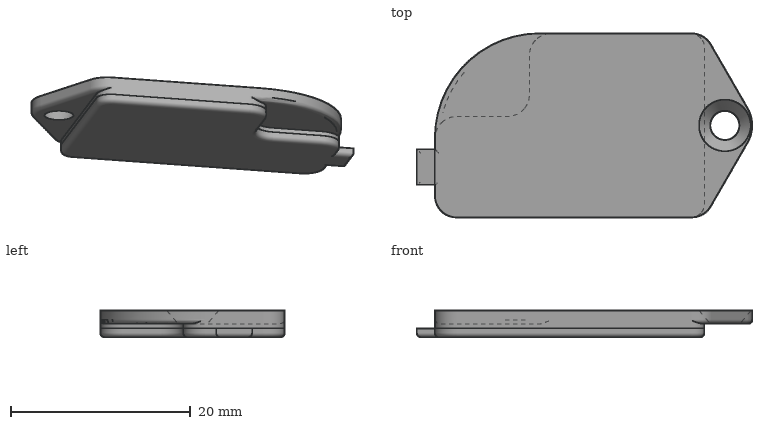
import cadquery as cq
import math

overall_length = 37.37
width = 20.5
height = 3.0
housing_length = 30.0

base_height = 1.0
flange_thickness = 1.5
bottom_rounding = 0.5

corner_radius = 2.43
large_corner_radius = 11.65

shoulder_radius = 2.5
tip_radius = 3.75
taper_normal_degrees = 30.0

recess_length = 10.5
end_corner_radius = 1.6

hole_radius = 1.6
countersink_radius = 2.88
hole_from_tip = 3.05

tab_length = 2.0
tab_width = 4.0
tab_center_y = -4.65
tab_root = 1.85

half_width = width / 2
tip_x = overall_length - tab_length
flange_bottom = height - flange_thickness
large_corner_start_y = half_width - large_corner_radius


def around(center_x, center_y, radius, degrees):
    """Point on a circle at the given angle from +X."""
    angle = math.radians(degrees)
    return center_x + radius * math.cos(angle), center_y + radius * math.sin(angle)


def start_outline(z):
    """Open outline with the -X, -Y corner that both outlines share."""
    center_y = corner_radius - half_width
    return (
        cq.Workplane("XY", origin=(0, 0, z))
        .moveTo(0, center_y)
        .threePointArc(around(corner_radius, center_y, corner_radius, 225), (corner_radius, -half_width))
    )


def flange_outline(z):
    """Plate with one large corner and a tapered, rounded tip."""
    normal = math.radians(taper_normal_degrees)
    bisector_degrees = (90 + taper_normal_degrees) / 2
    tip_center_x = tip_x - tip_radius
    taper_start_x = tip_center_x + (tip_radius - half_width * math.sin(normal)) / math.cos(normal)
    shoulder_x = taper_start_x - shoulder_radius * math.tan((math.pi / 2 - normal) / 2)
    shoulder_y = half_width - shoulder_radius
    return (
        start_outline(z)
        .lineTo(shoulder_x, -half_width)
        .threePointArc(
            around(shoulder_x, -shoulder_y, shoulder_radius, -bisector_degrees),
            around(shoulder_x, -shoulder_y, shoulder_radius, -taper_normal_degrees),
        )
        .lineTo(*around(tip_center_x, 0, tip_radius, -taper_normal_degrees))
        .threePointArc((tip_x, 0), around(tip_center_x, 0, tip_radius, taper_normal_degrees))
        .lineTo(*around(shoulder_x, shoulder_y, shoulder_radius, taper_normal_degrees))
        .threePointArc(
            around(shoulder_x, shoulder_y, shoulder_radius, bisector_degrees),
            (shoulder_x, half_width),
        )
        .lineTo(large_corner_radius, half_width)
        .threePointArc(
            around(large_corner_radius, large_corner_start_y, large_corner_radius, 135),
            (0, large_corner_start_y),
        )
        .close()
    )


def body_outline(z):
    """Rounded rectangle with a stepped recess at its -X, +Y corner."""
    r = corner_radius
    end_r = end_corner_radius
    end_x = housing_length - end_r
    end_y = half_width - end_r
    step_y = large_corner_start_y + r
    return (
        start_outline(z)
        .lineTo(end_x, -half_width)
        .threePointArc(around(end_x, -end_y, end_r, -45), (housing_length, -end_y))
        .lineTo(housing_length, end_y)
        .threePointArc(around(end_x, end_y, end_r, 45), (end_x, half_width))
        .lineTo(recess_length + r, half_width)
        .threePointArc(around(recess_length + r, half_width - r, r, 135), (recess_length, half_width - r))
        .lineTo(recess_length, step_y + r)
        .threePointArc(around(recess_length - r, step_y + r, r, -45), (recess_length - r, step_y))
        .lineTo(r, step_y)
        .threePointArc(around(r, large_corner_start_y, r, 135), (0, large_corner_start_y))
        .close()
    )


def round_bottom(part):
    return part.faces("<Z").edges().fillet(bottom_rounding)


def make_housing():
    """Upper body: the flange, the body below it and the countersunk hole."""
    flange = round_bottom(flange_outline(flange_bottom).extrude(flange_thickness))
    body = body_outline(base_height).extrude(height - base_height)
    hole_place = cq.Vector(tip_x - hole_from_tip, 0, flange_bottom)
    countersink = cq.Solid.makeCone(hole_radius, countersink_radius, flange_thickness, hole_place)
    return flange.union(body).cut(cq.Workplane(countersink))


def make_base():
    """Bottom cover plate with the tab sticking out at -X."""
    plate = body_outline(0).extrude(base_height)
    tab = (
        cq.Workplane("XY", origin=(-tab_length, tab_center_y, 0))
        .box(tab_length + tab_root, tab_width, base_height, centered=(False, True, False))
    )
    return round_bottom(plate.union(tab))


housing = make_housing()
base = make_base()
result = cq.Compound.makeCompound([housing.solids().val(), base.solids().val()])